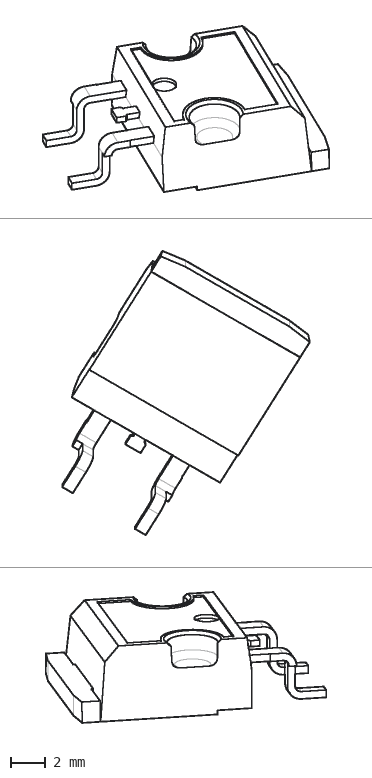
import cadquery as cq
import math


overall_length = 15.0
base_width = 10.0
top_z = 4.42
base_z = 0.05
draft_angle = 5.0
draft = math.tan(math.radians(draft_angle))

parting_z = 2.52
parting_front_y = 4.78
top_front_y = 5.02
bottom_front_y = 4.83
base_rear_y = 13.72
rear_chamfer_z = 3.52
top_rear_y = 12.6
standoff_y = 6.84
standoff_height = 0.24

label_half_width = 4.14
label_front_y = 5.72
label_rear_y = 11.97
label_depth = 0.1
label_margin = 0.18
ejector_radius = 0.7
ejector_y = label_front_y + ejector_radius
ejector_depth = 0.21

pocket_x = label_half_width
pocket_y = 8.15
pocket_radius = 1.45
pocket_depth = 1.52
pocket_fillet = 0.42
pocket_chamfer = 0.2

tab_thickness = 1.23
tab_shoulder_y = 13.74
tab_neck_width = 5.01
tab_flat_width = 6.98
tab_corner_y = 14.8

lead_center_x = -0.09
lead_thickness = 0.45
lead_top_z = 2.95
bend_inner_radius = 0.36
bend_outer_radius = bend_inner_radius + lead_thickness
leg_front_y = 1.83
lead_inner_x = 2.08
foot_outer_x = 2.8
root_outer_x = 3.2
shoulder_outer_x = 3.22
trim_y = 3.39

pin_bottom_z = 2.6
pin_root_width = 0.72
pin_head_width = 1.02
pin_head_y = 3.95
pin_flare_length = 0.12

root_overrun = 0.45
root_y = parting_front_y + root_overrun


def drafted_envelope():
    """Trapezoidal prism along Y that gives the housing and tab their sloping flanks."""
    half_base = base_width / 2
    half_top = half_base - (top_z - base_z) * draft
    return (
        cq.Workplane("XZ")
        .polyline([(-half_base, base_z), (half_base, base_z), (half_top, top_z), (-half_top, top_z)])
        .close()
        .extrude(-overall_length)
    )


def label_recess():
    recess = (
        cq.Workplane("XY", origin=(0, 0, top_z - label_depth))
        .moveTo(0, (label_front_y + label_rear_y) / 2)
        .rect(2 * label_half_width, label_rear_y - label_front_y)
        .extrude(label_depth)
    )
    pocket_rims = (
        cq.Workplane("XY", origin=(0, 0, top_z - label_depth))
        .pushPoints([(-pocket_x, pocket_y), (pocket_x, pocket_y)])
        .circle(pocket_radius + pocket_chamfer + label_margin)
        .extrude(label_depth)
    )
    return recess.cut(pocket_rims)


def ejector_mark():
    depth = label_depth + ejector_depth
    return (
        cq.Workplane("XY", origin=(0, ejector_y, top_z - depth))
        .circle(ejector_radius)
        .extrude(depth)
    )


def side_pocket(x):
    """Round blind pocket with a filleted floor and a chamfered mouth."""
    bore = (
        cq.Workplane("XY", origin=(x, pocket_y, top_z - pocket_depth))
        .circle(pocket_radius)
        .extrude(pocket_depth)
        .faces("<Z")
        .edges()
        .fillet(pocket_fillet)
    )
    mouth = (
        cq.Workplane("XY", origin=(x, pocket_y, top_z - pocket_chamfer))
        .circle(pocket_radius)
        .workplane(offset=pocket_chamfer)
        .circle(pocket_radius + pocket_chamfer)
        .loft(ruled=True)
    )
    return bore.union(mouth)


def build_housing():
    standoff_z = base_z + standoff_height
    rear_chamfer_y = base_rear_y - (rear_chamfer_z - base_z) * draft
    side_profile = [
        (base_rear_y, base_z),
        (standoff_y, base_z),
        (standoff_y, standoff_z),
        (bottom_front_y, standoff_z),
        (parting_front_y, parting_z),
        (top_front_y, top_z),
        (top_rear_y, top_z),
        (rear_chamfer_y, rear_chamfer_z),
    ]
    body = cq.Workplane("YZ").polyline(side_profile).close().extrude(base_width / 2, both=True)
    body = body.intersect(drafted_envelope())
    body = body.cut(label_recess()).cut(ejector_mark())
    for x in (-pocket_x, pocket_x):
        body = body.cut(side_pocket(x))
    return body


def build_tab(housing):
    """Full-width plate whose narrower neck butts against the rear wall of the housing."""
    plate_outline = [
        (-base_width / 2, tab_shoulder_y),
        (base_width / 2, tab_shoulder_y),
        (base_width / 2, tab_corner_y),
        (tab_flat_width / 2, overall_length),
        (-tab_flat_width / 2, overall_length),
        (-base_width / 2, tab_corner_y),
    ]
    base_plane = cq.Workplane("XY", origin=(0, 0, base_z))
    plate = base_plane.polyline(plate_outline).close().extrude(tab_thickness)
    neck_start_y = base_rear_y - tab_thickness * draft
    neck_length = tab_shoulder_y - neck_start_y
    neck = (
        base_plane.center(0, neck_start_y + neck_length / 2)
        .rect(tab_neck_width, neck_length)
        .extrude(tab_thickness)
    )
    return plate.intersect(drafted_envelope()).union(neck).cut(housing)


def lead_strip():
    """Constant-thickness gull-wing strip, wide enough in X for the full lead width."""
    leg_rear_y = leg_front_y + lead_thickness
    upper_bend = (leg_front_y + bend_outer_radius, lead_top_z - bend_outer_radius)
    lower_bend = (leg_rear_y - bend_outer_radius, bend_outer_radius)
    slant = math.sqrt(0.5)
    inner_mid = bend_inner_radius * slant
    outer_mid = bend_outer_radius * slant
    return (
        cq.Workplane("YZ", origin=(lead_inner_x, 0, 0))
        .moveTo(0, 0)
        .lineTo(lower_bend[0], 0)
        .threePointArc(
            (lower_bend[0] + outer_mid, lower_bend[1] - outer_mid), (leg_rear_y, lower_bend[1])
        )
        .lineTo(leg_rear_y, upper_bend[1])
        .threePointArc(
            (upper_bend[0] - inner_mid, upper_bend[1] + inner_mid),
            (upper_bend[0], lead_top_z - lead_thickness),
        )
        .lineTo(root_y, lead_top_z - lead_thickness)
        .lineTo(root_y, lead_top_z)
        .lineTo(upper_bend[0], lead_top_z)
        .threePointArc(
            (upper_bend[0] - outer_mid, upper_bend[1] + outer_mid), (leg_front_y, upper_bend[1])
        )
        .lineTo(leg_front_y, lower_bend[1])
        .threePointArc(
            (lower_bend[0] + inner_mid, lower_bend[1] - inner_mid),
            (lower_bend[0], lead_thickness),
        )
        .lineTo(0, lead_thickness)
        .close()
        .extrude(shoulder_outer_x - lead_inner_x)
    )


def build_lead(housing, mirrored):
    """Lead with a wide root and shoulder and a narrow leg and foot."""
    shoulder_z = lead_top_z - bend_outer_radius
    beside_foot = cq.Workplane("XY").box(
        shoulder_outer_x - foot_outer_x, root_y, shoulder_z, centered=False
    )
    beside_root = cq.Workplane("XY").box(
        shoulder_outer_x - root_outer_x, root_y - trim_y, lead_top_z, centered=False
    )
    lead = (
        lead_strip()
        .cut(beside_foot.translate((foot_outer_x, 0, 0)))
        .cut(beside_root.translate((root_outer_x, trim_y, 0)))
    )
    if mirrored:
        lead = lead.mirror("YZ")
    return lead.translate((lead_center_x, 0, 0)).cut(housing)


def build_center_pin(housing):
    half_root = pin_root_width / 2
    half_head = pin_head_width / 2
    flare_end_y = pin_head_y + pin_flare_length
    outline = [
        (half_head, trim_y),
        (half_head, pin_head_y),
        (half_root, flare_end_y),
        (half_root, root_y),
        (-half_root, root_y),
        (-half_root, flare_end_y),
        (-half_head, pin_head_y),
        (-half_head, trim_y),
    ]
    pin = (
        cq.Workplane("XY", origin=(0, 0, pin_bottom_z))
        .polyline(outline)
        .close()
        .extrude(lead_top_z - pin_bottom_z)
    )
    return pin.cut(housing)


housing = build_housing()
tab = build_tab(housing)
leads = [build_lead(housing, mirrored) for mirrored in (False, True)]
center_pin = build_center_pin(housing)

result = cq.Compound.makeCompound(
    [housing.val(), tab.val(), *[lead.val() for lead in leads], center_pin.val()]
)